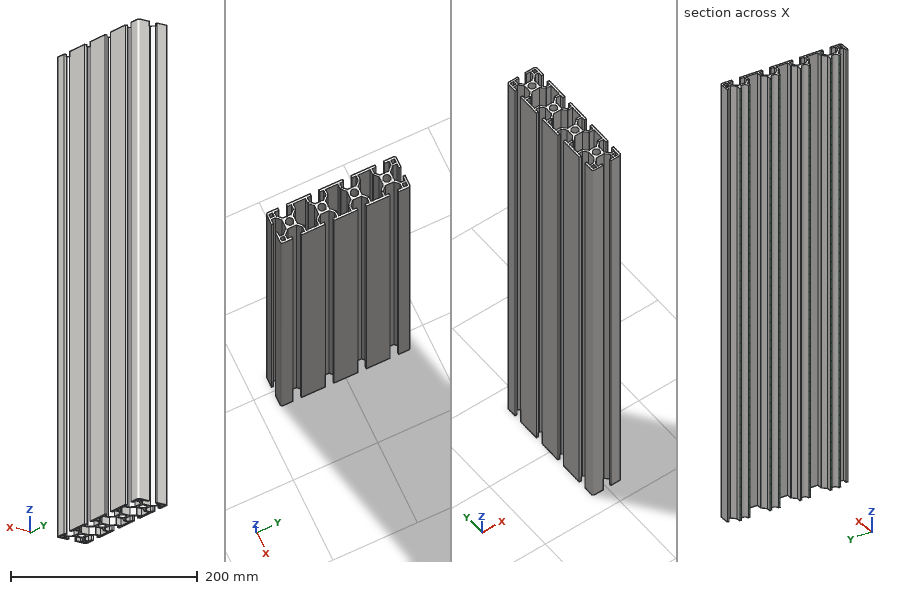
import cadquery as cq
import math

width = 38.36
depth = 153.45
length = 544.73
cell_count = 4
corner_radius = 2.6

side_wall = 2.74
end_wall = 2.43
slot_mouth = 10.08

core_size = 13.48
bore_diameter = 8.55
rib_thickness = 2.41
rib_offset = 10.82
corner_web_offset = 11.36
corner_web_thickness = 2.25

pitch = depth / cell_count
half_cell = pitch / 2
half_width = width / 2
cell_centres = [(i - (cell_count - 1) / 2) * pitch for i in range(cell_count)]


def bar(x_size, y_size, x, y):
    """Full-length rectangular bar centred on (x, y)."""
    return cq.Workplane("XY").center(x, y).rect(x_size, y_size).extrude(length).val()


def outer_shell():
    """Rounded tube opened by a slot mouth on both sides of every cell and at both ends."""
    block = cq.Workplane(bar(width, depth, 0, 0)).edges("|Z").fillet(corner_radius).val()
    inside = bar(width - 2 * side_wall, depth - 2 * end_wall, 0, 0)
    side_mouths = [bar(2 * width, slot_mouth, 0, y) for y in cell_centres]
    end_mouths = bar(slot_mouth, 2 * depth, 0, 0)
    return block.cut(inside, *side_mouths, end_mouths)


def diagonal_rib(x_sign, y_sign, reach, centre_y):
    """Rib from a core centre at 45 degrees, ending reach away from it in both X and Y."""
    rib_length = math.hypot(reach, reach)
    angle = math.degrees(math.atan2(y_sign, x_sign))
    rib = bar(rib_length, rib_thickness, rib_length / 2, 0)
    return rib.rotate(cq.Vector(0, 0, 0), cq.Vector(0, 0, 1), angle).translate(cq.Vector(0, centre_y, 0))


def wall_rib(x_sign, y_sign, centre_y):
    """Diagonal rib that bends to meet the side wall squarely, with a mitred bend."""
    outer = rib_offset + rib_thickness / 2
    inner = rib_offset - rib_thickness / 2
    mitre = rib_thickness / 2 * math.tan(math.radians(45 / 2))
    wall_middle = half_width - side_wall / 2
    outline = [
        (rib_offset - mitre, outer),
        (wall_middle, outer),
        (wall_middle, inner),
        (rib_offset + mitre, inner),
    ]
    placed = [(x_sign * x, centre_y + y_sign * y) for x, y in outline]
    straight = cq.Workplane("XY").polyline(placed).close().extrude(length).val()
    return [straight, diagonal_rib(x_sign, y_sign, rib_offset, centre_y)]


def corner_rib(x_sign, y_sign, centre_y):
    """Diagonal rib ending in two webs that box in a corner of the extrusion."""
    web_start = corner_web_offset - corner_web_thickness / 2
    x_run = half_width - side_wall / 2 - web_start
    y_run = half_cell - end_wall / 2 - web_start
    x_middle = x_sign * (web_start + x_run / 2)
    y_middle = centre_y + y_sign * (web_start + y_run / 2)
    to_side = bar(x_run, corner_web_thickness, x_middle, centre_y + y_sign * corner_web_offset)
    to_end = bar(corner_web_thickness, y_run, x_sign * corner_web_offset, y_middle)
    return [to_side, to_end, diagonal_rib(x_sign, y_sign, corner_web_offset, centre_y)]


def cell_solids(index):
    """Core and four ribs of one cell; ribs facing an end of the row box in the corners."""
    centre_y = cell_centres[index]
    solids = [bar(core_size, core_size, 0, centre_y)]
    for y_sign, end_index in ((-1, 0), (1, cell_count - 1)):
        rib = corner_rib if index == end_index else wall_rib
        for x_sign in (-1, 1):
            solids += rib(x_sign, y_sign, centre_y)
    return solids


def bores():
    """Round through-bore along every core."""
    centres = [(0, y) for y in cell_centres]
    return cq.Workplane("XY").pushPoints(centres).circle(bore_diameter / 2).extrude(length)


inner_solids = [solid for index in range(cell_count) for solid in cell_solids(index)]
result = cq.Workplane(outer_shell().fuse(*inner_solids)).cut(bores()).clean()